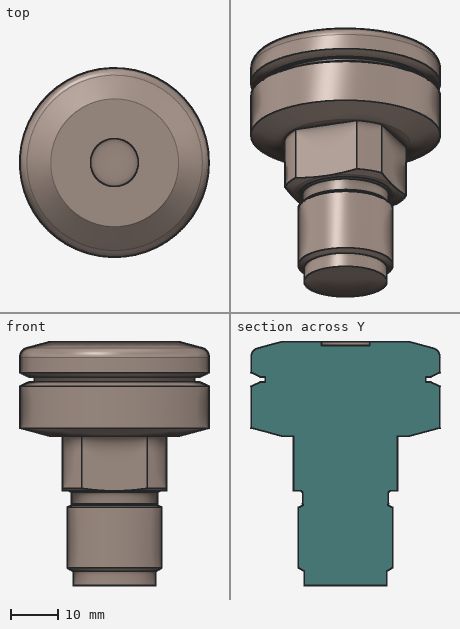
import cadquery as cq
import math

total_height = 51.5
head_bottom = 31.5
square_bottom = 20.0
stem_top = 17.0
tip_length = 3.0

head_radius = 20.0
head_flat_radius = 13.5
head_cone_angle = math.radians(15)
head_edge_fillet = 2.0
groove_radius = 17.0
groove_bottom = 43.0
groove_top = 44.0
groove_chamfer_height = 0.95
groove_chamfer_width = 2.0

square_width = 22.0
square_corner_radius = 13.0
square_chamfer_angle = math.radians(15)

stem_radius = 10.0
tip_radius = 8.75
tip_chamfer_angle = math.radians(30)
stem_top_chamfer_height = 0.5
relief_radius = 9.1
relief_taper_height = 0.3
relief_bottom_radius = 9.0
relief_top_radius = 9.6

recess_diameter = 10.1
recess_depth = 0.8


def revolve_profile(points):
    """Revolve a closed outline of (radius, height) points about Z."""
    return cq.Workplane("XZ").polyline(points).close().revolve(360, (0, 0), (0, 1))


def make_head():
    """Grooved round head, coned on its upper and lower faces."""
    cone_drop = (head_radius - head_flat_radius) * math.tan(head_cone_angle)
    lip_radius = head_radius - groove_chamfer_width
    shoulder_height = total_height - cone_drop

    half_sweep = (math.pi / 2 - head_cone_angle) / 2
    fillet_tangent = head_edge_fillet * math.tan(half_sweep)
    fillet_bottom = shoulder_height - fillet_tangent
    fillet_top = (
        head_radius - fillet_tangent * math.cos(head_cone_angle),
        shoulder_height + fillet_tangent * math.sin(head_cone_angle),
    )
    fillet_middle = (
        head_radius - head_edge_fillet * (1 - math.cos(half_sweep)),
        fillet_bottom + head_edge_fillet * math.sin(half_sweep),
    )

    return (
        cq.Workplane("XZ")
        .moveTo(0, head_bottom)
        .lineTo(head_flat_radius, head_bottom)
        .lineTo(head_radius, head_bottom + cone_drop)
        .lineTo(head_radius, groove_bottom - groove_chamfer_height)
        .lineTo(lip_radius, groove_bottom)
        .lineTo(groove_radius, groove_bottom)
        .lineTo(groove_radius, groove_top)
        .lineTo(lip_radius, groove_top)
        .lineTo(head_radius, groove_top + groove_chamfer_height)
        .lineTo(head_radius, fillet_bottom)
        .threePointArc(fillet_middle, fillet_top)
        .lineTo(head_flat_radius, total_height)
        .lineTo(0, total_height)
        .close()
        .revolve(360, (0, 0), (0, 1))
    )


def make_square():
    """Square prism trimmed by a cylinder that is coned at its lower end."""
    cone_radius = square_width / 2
    cone_height = (square_corner_radius - cone_radius) * math.tan(square_chamfer_angle)
    envelope = revolve_profile([
        (0, square_bottom),
        (cone_radius, square_bottom),
        (square_corner_radius, square_bottom + cone_height),
        (square_corner_radius, head_bottom),
        (0, head_bottom),
    ])
    prism = (
        cq.Workplane("XY", origin=(0, 0, square_bottom))
        .rect(square_width, square_width)
        .extrude(head_bottom - square_bottom)
    )
    return prism.intersect(envelope)


def make_stem():
    """Stepped stem with a relief neck between its large diameter and the square."""
    tip_chamfer_height = (stem_radius - tip_radius) * math.tan(tip_chamfer_angle)
    return revolve_profile([
        (0, 0),
        (tip_radius, 0),
        (tip_radius, tip_length),
        (stem_radius, tip_length + tip_chamfer_height),
        (stem_radius, stem_top - stem_top_chamfer_height),
        (relief_bottom_radius, stem_top),
        (relief_radius, stem_top + relief_taper_height),
        (relief_radius, square_bottom - relief_taper_height),
        (relief_top_radius, square_bottom),
        (0, square_bottom),
    ])


def make_recess():
    """Shallow round pocket in the top face."""
    return (
        cq.Workplane("XY", origin=(0, 0, total_height - recess_depth))
        .circle(recess_diameter / 2)
        .extrude(recess_depth)
    )


result = make_head().union(make_square()).union(make_stem()).cut(make_recess())